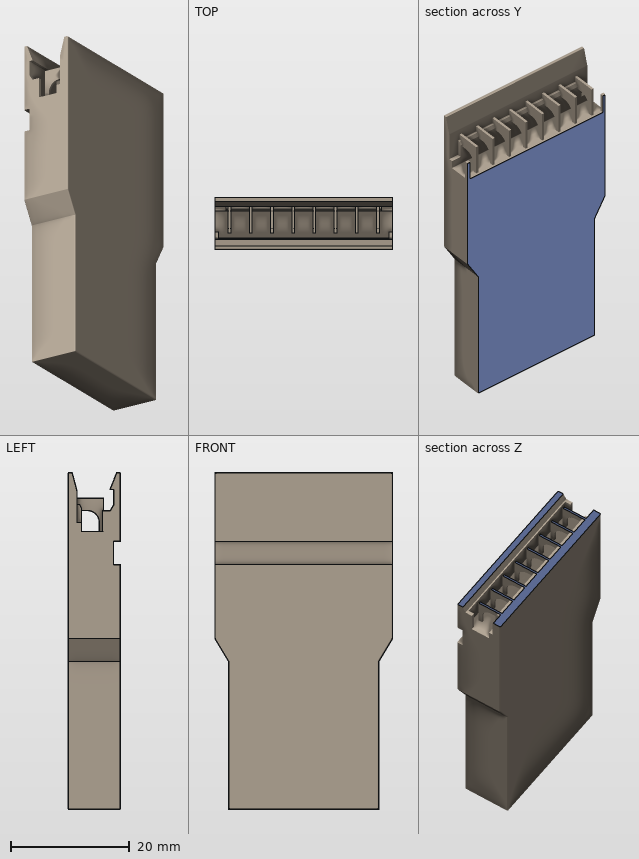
import cadquery as cq

width = 30.0
thickness = 8.8
height = 56.8
back_y = thickness / 2
front_y = -thickness / 2

body_width = 25.35
flare_bottom_z = 24.95
flare_top_z = 28.8
edge_round = 0.2

back_tip = 0.7
back_taper_z = 53.6
front_tip = 0.6
barb_z = 53.9
back_wall = 1.55
front_wall = 1.15
barb_reach = 1.75
mouth_floor_z = 50.4
mouth_chamfer_depth = 0.55
mouth_chamfer_height = 0.95

channel_floor_z = 46.85
channel_back_y = back_y - 2.3
channel_front_y = back_y - 5.8

pocket_front_y = back_y - 6.9
dam_length = 0.6

ledge_top_z = 51.4
ledge_end_z = 48.35
ledge_inset = 1.9
ledge_chamfer_depth = 0.35
ledge_chamfer_height = 0.6

rib_count = 8
rib_pitch = 3.6
rib_thickness = 0.45
rib_top_z = 52.5
rib_front_y = back_y - 5.95
rib_leg_width = 0.75
rib_arch_z = mouth_floor_z
rib_arch_radius = 2.0

groove_depth = 1.15
groove_bottom_z = 41.3
groove_top_z = 45.2


def box_between(x_range, y_range, z_range):
    """Box given by its limits along each axis."""
    sizes = [high - low for low, high in (x_range, y_range, z_range)]
    corner = (x_range[0], y_range[0], z_range[0])
    return cq.Workplane("XY").box(*sizes, centered=False).translate(corner)


def centred_prism(outline, length):
    """Extrude a YZ outline along X, centred on the part."""
    return outline.extrude(length / 2, both=True)


def make_body():
    """Solid stepped block with rounded rims on its front and back faces."""
    head_x = width / 2
    body_x = body_width / 2
    outline = [
        (-body_x, 0),
        (body_x, 0),
        (body_x, flare_bottom_z),
        (head_x, flare_top_z),
        (head_x, height),
        (-head_x, height),
        (-head_x, flare_top_z),
        (-body_x, flare_bottom_z),
    ]
    block = cq.Workplane("XZ").polyline(outline).close().extrude(thickness / 2, both=True)
    return block.faces("<Y or >Y").edges().fillet(edge_round)


def make_mouth():
    """Cutter for the tapered opening with a barb on the front lip."""
    back_wall_y = back_y - back_wall
    front_wall_y = front_y + front_wall
    outline = (
        cq.Workplane("YZ")
        .moveTo(back_y - back_tip, height)
        .lineTo(back_wall_y, back_taper_z)
        .lineTo(back_wall_y, mouth_floor_z)
        .lineTo(front_wall_y + mouth_chamfer_depth, mouth_floor_z)
        .lineTo(front_wall_y, mouth_floor_z + mouth_chamfer_height)
        .lineTo(front_wall_y, barb_z)
        .lineTo(front_y + barb_reach, barb_z)
        .lineTo(front_y + front_tip, height)
        .close()
    )
    return centred_prism(outline, width)


def make_channel():
    """Cutter for the through channel, its closed front pocket and the back step."""
    half = width / 2
    pocket_half = half - dam_length
    z_range = (channel_floor_z, mouth_floor_z)
    channel = box_between((-half, half), (channel_front_y, channel_back_y), z_range)
    pocket = box_between((-pocket_half, pocket_half), (pocket_front_y, channel_back_y), z_range)
    step = box_between((-half, half), (channel_back_y, back_y - back_wall), (ledge_end_z, mouth_floor_z))
    return channel.union(pocket).union(step)


def make_ledge():
    """Ledge on the back wall with a steep chamfer along its inner top edge."""
    outline = (
        cq.Workplane("YZ")
        .moveTo(back_y - back_wall, ledge_end_z)
        .lineTo(back_y - back_wall, ledge_top_z)
        .lineTo(channel_back_y + ledge_chamfer_depth, ledge_top_z)
        .lineTo(channel_back_y, ledge_top_z - ledge_chamfer_height)
        .lineTo(channel_back_y, ledge_end_z)
        .close()
    )
    return centred_prism(outline, width - 2 * ledge_inset)


def make_rib(x):
    """Thin arched rib reaching from the back wall to a leg standing on the channel floor."""
    leg_back_y = rib_front_y + rib_leg_width
    outline = (
        cq.Workplane("YZ")
        .moveTo(back_y - back_wall, rib_top_z)
        .lineTo(rib_front_y, rib_top_z)
        .lineTo(rib_front_y, channel_floor_z)
        .lineTo(leg_back_y, channel_floor_z)
        .lineTo(leg_back_y, rib_arch_z - rib_arch_radius)
        .radiusArc((leg_back_y + rib_arch_radius, rib_arch_z), rib_arch_radius)
        .lineTo(back_y - back_wall, rib_arch_z)
        .close()
    )
    return centred_prism(outline, rib_thickness).translate((x, 0, 0))


groove = box_between(
    (-width / 2, width / 2),
    (front_y, front_y + groove_depth),
    (groove_bottom_z, groove_top_z),
)

result = make_body().cut(make_mouth()).cut(make_channel()).cut(groove)
result = result.union(make_ledge())
for index in range(rib_count):
    rib_x = (index - (rib_count - 1) / 2) * rib_pitch
    result = result.union(make_rib(rib_x))